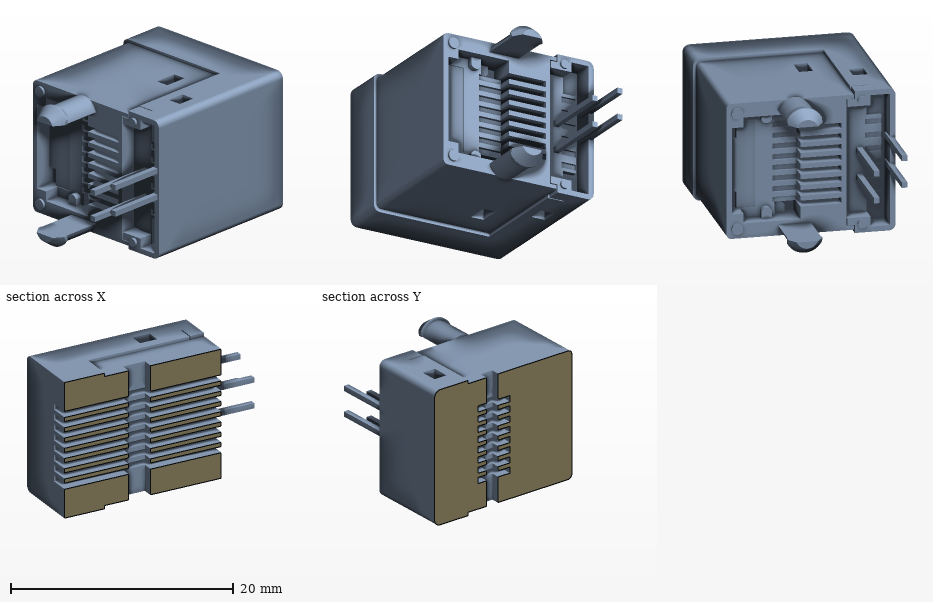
import cadquery as cq


WIDTH = 15.9
HEIGHT = 13.47
DEPTH = 16.15
CORNER_RADIUS = 0.65

STEP_DEPTH = 12.0
STEP_RIGHT = 12.03
STEP_SIDE_INSET = 0.25
STEP_FACE_INSET = 0.32
STEP_CORNER_RADIUS = 0.47

WINDOWS = [(8.68, 9.97, 7.3, 9.55), (12.98, 14.34, 4.36, 6.1)]

COMB_LEFT = 1.84
COMB_RIGHT = 7.08
COMB_HALF_HEIGHT = 5.03
COMB_CORNER_LEFT = 5.07
COMB_CORNER_DEPTH = 2.75
POCKET_DEPTH = 1.55

CHANNEL_LEFT = 0.75
CHANNEL_RIGHT = 3.28
CHANNEL_HALF_HEIGHT = 4.1
CHANNEL_STEP = 0.09
CHANNEL_DEPTH = POCKET_DEPTH + CHANNEL_STEP
WELL_WIDTH = 0.8
WELL_HEIGHT = 1.6
WELL_DEPTH = 0.43

POST_WIDTH = 0.97
POST_HEIGHT = 1.04
POST_RISE = 0.32
POSTS = [(4.2, 0.95, POCKET_DEPTH), (5.65, 2.18, COMB_CORNER_DEPTH)]

COMB_COUNT = 8
COMB_PITCH = 1.01
COMB_SLOT_HEIGHT = 0.56
COMB_SLOT_LEFT = 4.85
COMB_SLOT_RIGHT = 10.9
COMB_THROUGH_LEFT = 7.35
COMB_SLOT_DEPTH = 0.32
COMB_OUTER_EDGE = ((COMB_COUNT - 1) * COMB_PITCH + COMB_SLOT_HEIGHT) / 2

TERMINAL_LEFT = 11.33
TERMINAL_RIGHT = 13.58
TERMINAL_HALF_HEIGHT = 5.3
SIDE_POCKET_RIGHT = 15.35
SIDE_POCKET_HALF_HEIGHT = 6.25
SIDE_POCKET_DEPTH = 2.07
SIDE_POCKET_FILLET = 0.13
TONGUE_RIGHT = 14.95
TONGUE_HALF_HEIGHT = 3.75

TERMINAL_COUNT = 6
TERMINAL_PITCH = 1.27
TERMINAL_SLOT_LEFT = 13.43
TERMINAL_SLOT_HEIGHT = 0.56
TERMINAL_SLOT_DEPTH = 0.24

GAP = 0.09
GAP_END = 13.65
GAP_BACK = 0.13
LATCH_STEP = 6.05

BUTTONS = [(1.23, 5.48, 0.52), (12.78, 5.85, 0.4)]
BUTTON_HEIGHT = 0.24

PEG_X = 6.55
PEG_AXIS_Z = 5.05
PEG_FLAT_Z = 5.45
PEG_RADIUS = 1.58
PEG_HEAD_SPAN = 13.7
PEG_HEAD_RADIUS = PEG_HEAD_SPAN / 2 - PEG_AXIS_Z
PEG_TIP_RADIUS = 1.05
PEG_HEAD_HALF_WIDTH = 1.6
PEG_SHANK_LENGTH = 3.8
PEG_RIM_END = 3.97
PEG_LENGTH = 5.1

PIN_SIZE = 0.52
PIN_LENGTH = 5.45
OUTER_ROOT = 1.4
INNER_ROOT = POCKET_DEPTH + TERMINAL_SLOT_DEPTH
INNER_ROW_X = 12.87
OUTER_ROW_X = 15.44
OUTER_PIN = (OUTER_ROW_X, OUTER_ROOT)
INNER_PIN = (INNER_ROW_X, INNER_ROOT)
PINS = [OUTER_PIN, INNER_PIN, OUTER_PIN, INNER_PIN]


def block(x_range, y_range, z_range):
    """Box given by its extent along each axis."""
    spans = [high - low for low, high in (x_range, y_range, z_range)]
    corner = (x_range[0], y_range[0], z_range[0])
    return cq.Workplane("XY").box(*spans, centered=False).translate(corner)


def board_plane(y):
    """Sketch plane parallel to the board face; extruding goes toward -Y, out of the board face."""
    return cq.Workplane(cq.Plane(origin=(0, y, 0), xDir=(1, 0, 0), normal=(0, -1, 0)))


def both_ends(solid):
    """A solid together with its mirror image in Z."""
    return solid.union(solid.mirror("XY"))


def centred_rows(count, pitch):
    """Z positions of evenly spaced rows centred on Z = 0."""
    return [(index - (count - 1) / 2) * pitch for index in range(count)]


def around(centre, size):
    """Range of the given size about a centre."""
    return (centre - size / 2, centre + size / 2)


def make_shell():
    shell = block((0, WIDTH), (0, DEPTH), around(0, HEIGHT)).edges("|Y").fillet(CORNER_RADIUS)
    stepped_height = HEIGHT - 2 * STEP_FACE_INSET
    core = block((STEP_SIDE_INSET, WIDTH), (0, STEP_DEPTH), around(0, stepped_height))
    core = core.edges("|Y and <X").fillet(STEP_CORNER_RADIUS)
    step = block((0, STEP_RIGHT), (0, STEP_DEPTH), around(0, HEIGHT)).cut(core)
    return shell.cut(step)


def make_comb_pocket():
    pocket = block((COMB_LEFT, COMB_RIGHT), (0, POCKET_DEPTH), around(0, 2 * COMB_HALF_HEIGHT))
    channel_height = 2 * CHANNEL_HALF_HEIGHT
    channel = block((CHANNEL_LEFT, CHANNEL_RIGHT), (0, CHANNEL_DEPTH), around(0, channel_height))
    corner = block(
        (COMB_CORNER_LEFT, COMB_RIGHT),
        (0, COMB_CORNER_DEPTH),
        (COMB_OUTER_EDGE, COMB_HALF_HEIGHT),
    )
    well = block(
        (CHANNEL_LEFT, CHANNEL_LEFT + WELL_WIDTH),
        (0, CHANNEL_DEPTH + WELL_DEPTH),
        (CHANNEL_HALF_HEIGHT - WELL_HEIGHT, CHANNEL_HALF_HEIGHT),
    )
    return pocket.union(channel).union(both_ends(corner)).union(both_ends(well))


def make_comb_slots():
    slots = cq.Workplane("XY")
    for z in centred_rows(COMB_COUNT, COMB_PITCH):
        z_range = around(z, COMB_SLOT_HEIGHT)
        shallow_depth = POCKET_DEPTH + COMB_SLOT_DEPTH
        slots = slots.union(block((COMB_SLOT_LEFT, COMB_SLOT_RIGHT), (0, shallow_depth), z_range))
        slots = slots.union(block((COMB_THROUGH_LEFT, COMB_SLOT_RIGHT), (0, DEPTH), z_range))
    return slots


def make_post(centre_x, front, back):
    base_z = -COMB_HALF_HEIGHT
    shoulder_z = base_z + POST_HEIGHT - POST_RISE
    left, right = around(centre_x, POST_WIDTH)
    return (
        board_plane(back)
        .moveTo(left, base_z)
        .lineTo(left, shoulder_z)
        .threePointArc((centre_x, base_z + POST_HEIGHT), (right, shoulder_z))
        .lineTo(right, base_z)
        .close()
        .extrude(back - front)
    )


def make_terminal_recess():
    recess = block(
        (TERMINAL_LEFT, TERMINAL_RIGHT), (0, POCKET_DEPTH), around(0, 2 * TERMINAL_HALF_HEIGHT)
    )
    side = block(
        (TERMINAL_RIGHT, SIDE_POCKET_RIGHT),
        (0, SIDE_POCKET_DEPTH),
        around(0, 2 * SIDE_POCKET_HALF_HEIGHT),
    )
    side = side.edges("|Y and >X").fillet(SIDE_POCKET_FILLET)
    tongue = block(
        (TERMINAL_RIGHT, TONGUE_RIGHT),
        (POCKET_DEPTH, SIDE_POCKET_DEPTH),
        around(0, 2 * TONGUE_HALF_HEIGHT),
    )
    recess = recess.union(side.cut(tongue))
    for z in centred_rows(TERMINAL_COUNT, TERMINAL_PITCH):
        slot = block(
            (TERMINAL_SLOT_LEFT, TONGUE_RIGHT),
            (0, POCKET_DEPTH + TERMINAL_SLOT_DEPTH),
            around(z, TERMINAL_SLOT_HEIGHT),
        )
        recess = recess.union(slot)
    return recess


def make_latch_gaps():
    top = HEIGHT / 2
    depth = (0, POCKET_DEPTH)
    foot = block((TERMINAL_LEFT, TERMINAL_LEFT + GAP), depth, (TERMINAL_HALF_HEIGHT, LATCH_STEP))
    ledge = block((TERMINAL_LEFT, STEP_RIGHT + GAP), depth, (LATCH_STEP - GAP, LATCH_STEP))
    side = block((STEP_RIGHT, STEP_RIGHT + GAP), depth, (LATCH_STEP - GAP, top))
    back = block(
        (STEP_RIGHT, GAP_END), (POCKET_DEPTH - GAP_BACK, POCKET_DEPTH), (TERMINAL_HALF_HEIGHT, top)
    )
    return both_ends(foot.union(ledge).union(side).union(back))


def make_peg():
    profile = [
        (0, 0),
        (PEG_RADIUS, 0),
        (PEG_RADIUS, -PEG_SHANK_LENGTH),
        (PEG_HEAD_RADIUS, -PEG_SHANK_LENGTH),
        (PEG_HEAD_RADIUS, -PEG_RIM_END),
        (PEG_TIP_RADIUS, -PEG_LENGTH),
        (0, -PEG_LENGTH),
    ]
    turned = cq.Workplane("XY").polyline(profile).close().revolve(360, (0, 0), (0, 1))
    envelope = block(
        around(PEG_X, 2 * PEG_HEAD_HALF_WIDTH),
        (-PEG_LENGTH, 0),
        (PEG_FLAT_Z, PEG_HEAD_SPAN / 2),
    )
    return turned.translate((PEG_X, 0, PEG_AXIS_Z)).intersect(envelope)


def make_button(centre_x, centre_z, radius):
    return board_plane(0).center(centre_x, centre_z).circle(radius).extrude(BUTTON_HEIGHT)


def make_pin(x, root, z):
    x_range = around(x, PIN_SIZE)
    return block(x_range, (-PIN_LENGTH, root), around(z, PIN_SIZE))


housing = make_shell().cut(make_comb_pocket())
for post in POSTS:
    housing = housing.union(both_ends(make_post(*post)))
housing = housing.cut(make_comb_slots())
housing = housing.cut(make_terminal_recess()).cut(make_latch_gaps())
for left, right, front, back in WINDOWS:
    housing = housing.cut(block((left, right), (front, back), around(0, HEIGHT)))

housing = housing.union(both_ends(make_peg()))
for button in BUTTONS:
    housing = housing.union(both_ends(make_button(*button)))
for (pin_x, pin_root), pin_z in zip(PINS, reversed(centred_rows(len(PINS), TERMINAL_PITCH))):
    housing = housing.union(make_pin(pin_x, pin_root, pin_z))

result = housing